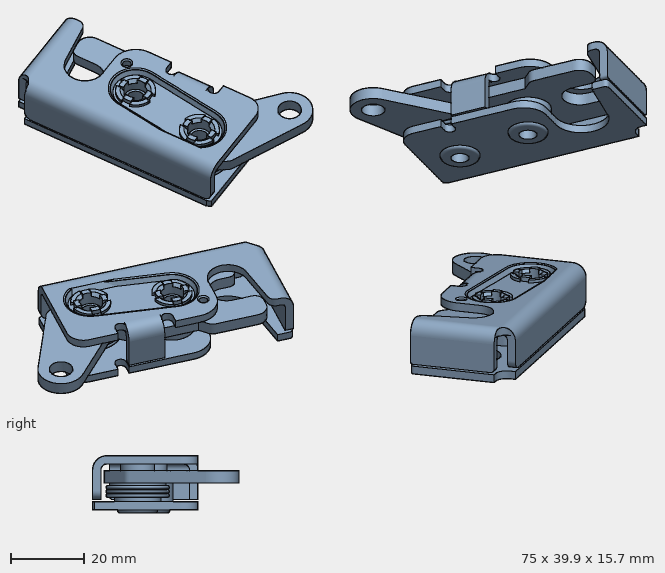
import cadquery as cq
import math

OVERALL_LENGTH = 75.0
OVERALL_WIDTH = 39.9

LENGTH = 63.65
WIDTH = 28.7
TOP_Z = 15.7
SHEET = 2.3
BEND_RADIUS = 3.9
FLANGE_BOTTOM_Z = 3.7
UNDER_COVER_Z = TOP_Z - SHEET

HEAD_HEIGHT = 0.9
BASE_THICKNESS = 2.25
BASE_TOP_Z = HEAD_HEIGHT + BASE_THICKNESS
BASE_CORNER = 1.2
BASE_CHAMFER_X = 1.2
BASE_CHAMFER_Y = 0.6

RELIEF_SIDE = 4.6
RELIEF_RADIUS = 3.15

FAR_CORNER = 4.7
SIDE_FLANGE_CORNER = 2.25
END_FLANGE_CORNER_INNER = 1.05
END_FLANGE_CORNER_OUTER = 0.75

SLOT_RADIUS = 5.6
SLOT_X = 14.4
SLOT_Y = 15.6
SLOT_LEAN = 9.1
SLOT_LEFT_CORNER = 2.25
SLOT_RIGHT_CORNER = 6.75
BASE_SLOT_MARGIN = 1.95

TAB_NOTCH_WIDTH = 3.15
TAB_LEFT_X = 37.1
TAB_RIGHT_X = 47.4
TAB_NOTCH_DEPTH = 4.0

PILOT_X = 23.8
PILOT_Y = 22.2
PILOT_DIAMETER = 2.3
PILOT_RIM_DIAMETER = 3.15
PILOT_RIM_SLOPE = 45

PIVOT_RIVET = (30.5, 15.6)
LEVER_RIVET = (52.8, 12.3)
RIVETS = [PIVOT_RIVET, LEVER_RIVET]
HEAD_DIAMETER = 10.95
HEAD_EDGE = 0.8
SPACER_DIAMETER = 12.7
SHANK_DIAMETER = 9.3
BORE_DIAMETER = 4.95
COUNTERBORE_DIAMETER = 6.4

FLARE_DIAMETER = 10.95
FLARE_HEIGHT = 0.8
FLARE_CONE_DIAMETER = 8.4
RIB_WIDTH = 2.5
RIB_HEIGHT = 1.3

RECESS_DEPTH = 1.6
RECESS_FLOOR_RADIUS = 6.15
RECESS_LIP_RADIUS = 7.4
LIP_WIDTH = 0.45
LIP_DEPTH = 0.2
RECESS_FLAT_Y = 6.1
RECESS_FLAT_SLOPE = 1.35
RECESS_FLOOR_Z = TOP_Z - RECESS_DEPTH

WIRE_DIAMETER = 1.05
COIL_PITCH = 1.1
COIL_COUNT = 3
COIL_OUTER_RADIUS = 8.6
COIL_BOTTOM_Z = 4.3
COIL_BITE = 0.15

PLATE_BOTTOM_Z = 8.2
PLATE_THICKNESS = 3.45
PLATE_TOP_Z = PLATE_BOTTOM_Z + PLATE_THICKNESS
PLATE_NEAR_Y = 3.15
PLATE_MID_Y = 25.8
JAW_LEFT_X = 6.7
LOWER_JAW_LEFT_X = 10.1
THROAT_RADIUS = 4.9
THROAT_END_X = 19.7
UPPER_JAW_OUTER_CORNER = 3.6
UPPER_JAW_INNER_CORNER = 2.55
JAW_CORNER = 2.25
JAW_TOP_RIGHT_X = 23.5
JAW_SHOULDER = 2.7
TAB_SIDE_X = 43.5
ARM_END_RADIUS = 12.7 / 2
ARM_END_X = OVERALL_LENGTH - ARM_END_RADIUS
ARM_END_Y = OVERALL_WIDTH - ARM_END_RADIUS
ARM_HOLE_DIAMETER = 6.4
ARM_LEFT_ANGLE = 49.3
ARM_RIGHT_ANGLE = 65.4
ARM_LEFT_LENGTH = 21.75
ARM_RIGHT_LENGTH = 23.85
HEEL_CORNER = 3.0
NEAR_SIDE_RIGHT_X = 55.5
NEAR_SIDE_CORNER = 3.75

TOUCHING = 0.001


def rounded_outline(corners):
    """Closed outline through (x, y, radius) corners, each rounded by its radius."""
    path = cq.Workplane("XY")
    count = len(corners)
    last_point = None
    for i in range(count):
        x, y, radius = corners[i]
        corner = cq.Vector(x, y)
        before = (cq.Vector(*corners[i - 1][:2]) - corner).normalized()
        after = (cq.Vector(*corners[(i + 1) % count][:2]) - corner).normalized()
        half_angle = before.getAngle(after) / 2
        setback = radius / math.tan(half_angle)
        start = corner + before * setback
        end = corner + after * setback
        if last_point is None:
            path = path.moveTo(start.x, start.y)
        elif (start - last_point).Length > TOUCHING:
            path = path.lineTo(start.x, start.y)
        if radius > 0:
            bisector = (before + after).normalized()
            middle = corner + bisector * (radius / math.sin(half_angle) - radius)
            path = path.threePointArc((middle.x, middle.y), (end.x, end.y))
        last_point = end
    return path.close()


def block(x0, x1, y0, y1, z0, z1):
    return cq.Workplane("XY").box(x1 - x0, y1 - y0, z1 - z0, centered=False).translate((x0, y0, z0))


def disc(center, diameter, z0, z1):
    return cq.Workplane("XY", origin=(*center, z0)).circle(diameter / 2).extrude(z1 - z0)


def polar(center, radius, degrees):
    angle = math.radians(degrees)
    return center[0] + radius * math.cos(angle), center[1] + radius * math.sin(angle)


def bent_flange(plane, run):
    """Flange that curves down from the cover sheet; local x points into the housing."""
    diagonal = math.sqrt(0.5)
    inner_radius = BEND_RADIUS - SHEET
    bend_z = TOP_Z - BEND_RADIUS
    outer_middle = (BEND_RADIUS * (1 - diagonal), bend_z + BEND_RADIUS * diagonal)
    inner_middle = (BEND_RADIUS - inner_radius * diagonal, bend_z + inner_radius * diagonal)
    return (
        cq.Workplane(plane)
        .moveTo(0, FLANGE_BOTTOM_Z)
        .lineTo(0, bend_z)
        .threePointArc(outer_middle, (BEND_RADIUS, TOP_Z))
        .lineTo(BEND_RADIUS, UNDER_COVER_Z)
        .threePointArc(inner_middle, (SHEET, bend_z))
        .lineTo(SHEET, FLANGE_BOTTOM_Z)
        .close()
        .extrude(run)
    )


def end_flange():
    plane = cq.Plane(origin=(0, WIDTH, 0), xDir=(1, 0, 0), normal=(0, -1, 0))
    flange = bent_flange(plane, WIDTH - RELIEF_SIDE)
    flange = flange.faces("<Y").edges("<Z").fillet(END_FLANGE_CORNER_INNER)
    return flange.faces(">Y").edges("<Z").fillet(END_FLANGE_CORNER_OUTER)


def side_flange():
    plane = cq.Plane(origin=(RELIEF_SIDE, 0, 0), xDir=(0, 1, 0), normal=(1, 0, 0))
    flange = bent_flange(plane, LENGTH - RELIEF_SIDE)
    flange = flange.faces("<X").edges("<Z").fillet(SIDE_FLANGE_CORNER)
    return flange.faces(">X").edges("<Z").fillet(SIDE_FLANGE_CORNER)


def far_tab():
    plane = cq.Plane(origin=(TAB_RIGHT_X, WIDTH, 0), xDir=(0, -1, 0), normal=(-1, 0, 0))
    return bent_flange(plane, TAB_RIGHT_X - TAB_LEFT_X)


def corner_relief():
    margin = 0.75
    return rounded_outline([
        (-margin, -margin, 0),
        (RELIEF_SIDE, -margin, 0),
        (RELIEF_SIDE, RELIEF_SIDE, RELIEF_RADIUS),
        (-margin, RELIEF_SIDE, 0),
    ]).extrude(TOP_Z)


def corner_web():
    """Flat-bottomed piece of sheet around the relief, following both bends on top."""
    envelope = block(0, LENGTH, 0, WIDTH, 0, TOP_Z).faces(">Z").edges("<X or <Y").fillet(BEND_RADIUS)
    web = block(0, RELIEF_SIDE, 0, RELIEF_SIDE, UNDER_COVER_Z, TOP_Z)
    return web.intersect(envelope).cut(corner_relief())


def slot_left_x(y, radius):
    """X of the leaning left slot edge, which is tangent to the round slot end."""
    lean = math.radians(SLOT_LEAN)
    return SLOT_X - radius / math.cos(lean) - (y - SLOT_Y) * math.tan(lean)


def slot_corners(radius, left_corner):
    """Outline corners of the open striker slot, from its right mouth round to its left mouth."""
    right_x = SLOT_X + radius
    bottom_y = SLOT_Y - radius
    return [
        (right_x, WIDTH, SLOT_RIGHT_CORNER),
        (right_x, bottom_y, radius),
        (slot_left_x(bottom_y, radius), bottom_y, radius),
        (slot_left_x(WIDTH, radius), WIDTH, left_corner),
    ]


def cover_sheet():
    sheet = rounded_outline([
        (BEND_RADIUS, BEND_RADIUS, 0),
        (LENGTH, BEND_RADIUS, 0),
        (LENGTH, WIDTH, FAR_CORNER),
        *slot_corners(SLOT_RADIUS, SLOT_LEFT_CORNER),
        (BEND_RADIUS, WIDTH, 0),
    ]).extrude(SHEET).translate((0, 0, UNDER_COVER_Z))
    tab_opening = block(TAB_LEFT_X, TAB_RIGHT_X, WIDTH - BEND_RADIUS, WIDTH, UNDER_COVER_Z, TOP_Z)
    return sheet.cut(tab_opening)


def tab_notch(left_x, z0, z1):
    radius = TAB_NOTCH_WIDTH / 2
    center = (left_x + radius, WIDTH - TAB_NOTCH_DEPTH + radius)
    opening = block(left_x, left_x + TAB_NOTCH_WIDTH, center[1], WIDTH, z0, z1)
    return disc(center, TAB_NOTCH_WIDTH, z0, z1).union(opening)


def recess():
    """Sloped-wall obround around both rivets, with a bevelled lip and one straight side."""
    dx = LEVER_RIVET[0] - PIVOT_RIVET[0]
    dy = LEVER_RIVET[1] - PIVOT_RIVET[1]
    spacing = math.hypot(dx, dy)
    tilt = math.degrees(math.atan2(dy, dx))
    middle_x = PIVOT_RIVET[0] + dx / 2
    middle_y = PIVOT_RIVET[1] + dy / 2

    def sunk(top_radius, floor_radius, depth):
        draft = math.degrees(math.atan2(top_radius - floor_radius, depth))
        top = cq.Workplane("XY", origin=(middle_x, middle_y, TOP_Z))
        return top.slot2D(spacing + 2 * top_radius, 2 * top_radius, tilt).extrude(-depth, taper=draft)

    wall_top_radius = RECESS_LIP_RADIUS - LIP_WIDTH
    bowl = sunk(wall_top_radius, RECESS_FLOOR_RADIUS, RECESS_DEPTH)
    lip = sunk(RECESS_LIP_RADIUS, wall_top_radius, LIP_DEPTH)
    straight_side = (
        cq.Workplane("YZ")
        .moveTo(0, TOP_Z)
        .lineTo(RECESS_FLAT_Y, TOP_Z)
        .lineTo(RECESS_FLAT_Y + RECESS_FLAT_SLOPE, RECESS_FLOOR_Z)
        .lineTo(0, RECESS_FLOOR_Z)
        .close()
        .extrude(LENGTH)
    )
    return bowl.union(lip).cut(straight_side)


def pilot_hole():
    center = (PILOT_X, PILOT_Y)
    rim_depth = (PILOT_RIM_DIAMETER - PILOT_DIAMETER) / 2
    rim = cq.Workplane("XY", origin=(*center, TOP_Z)).circle(PILOT_RIM_DIAMETER / 2)
    hole = disc(center, PILOT_DIAMETER, UNDER_COVER_Z, TOP_Z)
    return hole.union(rim.extrude(-rim_depth, taper=PILOT_RIM_SLOPE))


def make_cover():
    cover = cover_sheet().union(end_flange()).union(side_flange()).union(far_tab())
    cover = cover.union(corner_web())
    for left_x in (TAB_LEFT_X - TAB_NOTCH_WIDTH, TAB_RIGHT_X):
        cover = cover.cut(tab_notch(left_x, UNDER_COVER_Z, TOP_Z))
    return cover.cut(recess()).cut(pilot_hole())


def make_base():
    plate = rounded_outline([
        (0, 0, 0),
        (LENGTH - BASE_CHAMFER_X, 0, 0),
        (LENGTH, BASE_CHAMFER_Y, 0),
        (LENGTH, WIDTH, FAR_CORNER),
        *slot_corners(SLOT_RADIUS + BASE_SLOT_MARGIN, 0),
        (0, WIDTH, BASE_CORNER),
    ]).extrude(BASE_THICKNESS).translate((0, 0, HEAD_HEIGHT))
    return plate.cut(corner_relief()).cut(tab_notch(TAB_RIGHT_X, HEAD_HEIGHT, BASE_TOP_Z))


def rivet_crown(center):
    reach = FLARE_DIAMETER
    rib_top_z = RECESS_FLOOR_Z + RIB_HEIGHT
    flare_top_z = RECESS_FLOOR_Z + FLARE_HEIGHT
    floor = cq.Workplane("XY", origin=(*center, RECESS_FLOOR_Z))
    x_ribs = floor.rect(reach, RIB_WIDTH).extrude(RIB_HEIGHT)
    y_ribs = floor.rect(RIB_WIDTH, reach).extrude(RIB_HEIGHT)
    cross = x_ribs.union(y_ribs)
    cone_draft = math.degrees(math.atan2((FLARE_CONE_DIAMETER - COUNTERBORE_DIAMETER) / 2, FLARE_HEIGHT))
    cone = (
        cq.Workplane("XY", origin=(*center, flare_top_z))
        .circle(FLARE_CONE_DIAMETER / 2)
        .extrude(-FLARE_HEIGHT, taper=cone_draft)
    )
    flare = disc(center, FLARE_DIAMETER, RECESS_FLOOR_Z, flare_top_z).cut(cross).cut(cone)
    ribs = disc(center, SHANK_DIAMETER, RECESS_FLOOR_Z, rib_top_z).intersect(cross)
    return flare.union(ribs)


def make_rivet(center):
    head = disc(center, HEAD_DIAMETER, 0, HEAD_HEIGHT).faces("<Z").edges().fillet(HEAD_EDGE)
    spacer = disc(center, SPACER_DIAMETER, BASE_TOP_Z, PLATE_BOTTOM_Z)
    shank = disc(center, SHANK_DIAMETER, HEAD_HEIGHT, RECESS_FLOOR_Z)
    return head.union(spacer).union(shank).union(rivet_crown(center))


def rivet_bore(center):
    bore = disc(center, BORE_DIAMETER, 0, TOP_Z)
    return bore.union(disc(center, COUNTERBORE_DIAMETER, PLATE_TOP_Z, TOP_Z))


def spring_coils():
    """Coils wound on a round seat that widens the spacer of the lever rivet."""
    wire_radius = WIRE_DIAMETER / 2
    coil_radius = COIL_OUTER_RADIUS - wire_radius
    seat_radius = coil_radius - wire_radius + COIL_BITE
    coils = disc(LEVER_RIVET, 2 * seat_radius, COIL_BOTTOM_Z, PLATE_BOTTOM_Z)
    for i in range(COIL_COUNT):
        coil_z = COIL_BOTTOM_Z + wire_radius + i * COIL_PITCH
        ring = cq.Solid.makeTorus(coil_radius, wire_radius, cq.Vector(*LEVER_RIVET, coil_z))
        coils = coils.union(cq.Workplane(ring))
    return coils


def make_housing():
    housing = make_cover().union(make_base()).union(spring_coils())
    for center in RIVETS:
        housing = housing.union(make_rivet(center))
    for center in RIVETS:
        housing = housing.cut(rivet_bore(center))
    return housing


def make_latch_plate():
    """Flat plate with a forked jaw and a lever arm, held between spacers and cover."""
    arm_end = (ARM_END_X, ARM_END_Y)
    left_tangent = polar(arm_end, ARM_END_RADIUS, ARM_LEFT_ANGLE + 90)
    right_tangent = polar(arm_end, ARM_END_RADIUS, ARM_RIGHT_ANGLE - 90)
    arm_root = polar(left_tangent, -ARM_LEFT_LENGTH, ARM_LEFT_ANGLE)
    heel = polar(right_tangent, -ARM_RIGHT_LENGTH, ARM_RIGHT_ANGLE)
    throat_top_y = SLOT_Y + THROAT_RADIUS
    throat_bottom_y = SLOT_Y - THROAT_RADIUS
    shoulder_drop = WIDTH - PLATE_MID_Y
    outline = rounded_outline([
        (JAW_LEFT_X, WIDTH, UPPER_JAW_OUTER_CORNER),
        (JAW_LEFT_X, throat_top_y, UPPER_JAW_INNER_CORNER),
        (THROAT_END_X, throat_top_y, THROAT_RADIUS),
        (THROAT_END_X, throat_bottom_y, THROAT_RADIUS),
        (LOWER_JAW_LEFT_X, throat_bottom_y, JAW_CORNER),
        (LOWER_JAW_LEFT_X, PLATE_NEAR_Y, JAW_CORNER),
        (NEAR_SIDE_RIGHT_X, PLATE_NEAR_Y, NEAR_SIDE_CORNER),
        (*heel, HEEL_CORNER),
        (*right_tangent, 0),
        (*left_tangent, 0),
        (*arm_root, 0),
        (TAB_SIDE_X, PLATE_MID_Y, 0),
        (JAW_TOP_RIGHT_X + shoulder_drop, PLATE_MID_Y, 0),
        (JAW_TOP_RIGHT_X, WIDTH, JAW_SHOULDER),
    ])
    plate = outline.extrude(PLATE_THICKNESS).translate((0, 0, PLATE_BOTTOM_Z))
    plate = plate.union(disc(arm_end, 2 * ARM_END_RADIUS, PLATE_BOTTOM_Z, PLATE_TOP_Z))
    plate = plate.cut(disc(arm_end, ARM_HOLE_DIAMETER, PLATE_BOTTOM_Z, PLATE_TOP_Z))
    for center in RIVETS:
        plate = plate.cut(disc(center, SHANK_DIAMETER, PLATE_BOTTOM_Z, PLATE_TOP_Z))
    return plate


housing = make_housing()
latch_plate = make_latch_plate()
result = cq.Compound.makeCompound([housing.solids().val(), latch_plate.solids().val()])